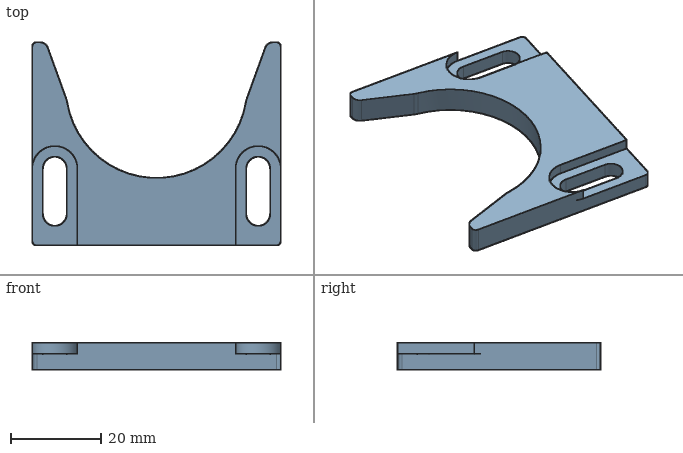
import cadquery as cq
import math

width = 55.0
depth = 45.0
thickness = 6.0
corner_radius = 1.0

cradle_radius = 20.0
cradle_center_y = 35.0
cradle_mouth_drop = 2.85
mouth_blend_radius = 5.0

tip_width = 3.0
tip_radius = 2.0

recess_width = 10.0
recess_depth = 2.5
slot_width = 5.2
slot_back_y = 17.0
slot_front_y = 7.0

half_width = width / 2
slot_x = half_width - recess_width / 2
mouth_x = math.sqrt(cradle_radius**2 - cradle_mouth_drop**2)
mouth_y = cradle_center_y - cradle_mouth_drop
tip_x = half_width - tip_width


def make_plate():
    """Plate with two tapering horns around the cradle."""
    plate = (
        cq.Workplane("XY")
        .moveTo(-half_width, 0)
        .lineTo(half_width, 0)
        .lineTo(half_width, depth)
        .lineTo(tip_x, depth)
        .lineTo(mouth_x, mouth_y)
        .threePointArc((0, cradle_center_y - cradle_radius), (-mouth_x, mouth_y))
        .lineTo(-tip_x, depth)
        .lineTo(-half_width, depth)
        .close()
        .extrude(thickness)
    )
    outer_corners = [(x, y) for x in (-half_width, half_width) for y in (0, depth)]
    inner_tips = [(-tip_x, depth), (tip_x, depth)]
    mouth_edges = [(-mouth_x, mouth_y), (mouth_x, mouth_y)]
    plate = round_edges(plate, outer_corners, corner_radius)
    plate = round_edges(plate, inner_tips, tip_radius)
    return round_edges(plate, mouth_edges, mouth_blend_radius)


def round_edges(body, points, radius):
    """Fillet the vertical edges standing at the given XY points."""
    for x, y in points:
        edge = cq.selectors.NearestToPointSelector((x, y, thickness / 2))
        body = body.edges("|Z").edges(edge).fillet(radius)
    return body


def make_recess(x):
    """Round-ended recess that opens through the front face."""
    floor = cq.Workplane("XY").workplane(offset=thickness - recess_depth)
    channel = floor.center(x, slot_back_y / 2).rect(recess_width, slot_back_y).extrude(recess_depth)
    round_end = floor.center(x, slot_back_y).circle(recess_width / 2).extrude(recess_depth)
    return channel.union(round_end)


def make_slot(x):
    """Mounting slot through the full thickness."""
    length = slot_back_y - slot_front_y + slot_width
    return (
        cq.Workplane("XY")
        .center(x, (slot_back_y + slot_front_y) / 2)
        .slot2D(length, slot_width, 90)
        .extrude(thickness)
    )


result = make_plate()
for side_x in (-slot_x, slot_x):
    result = result.cut(make_recess(side_x)).cut(make_slot(side_x))